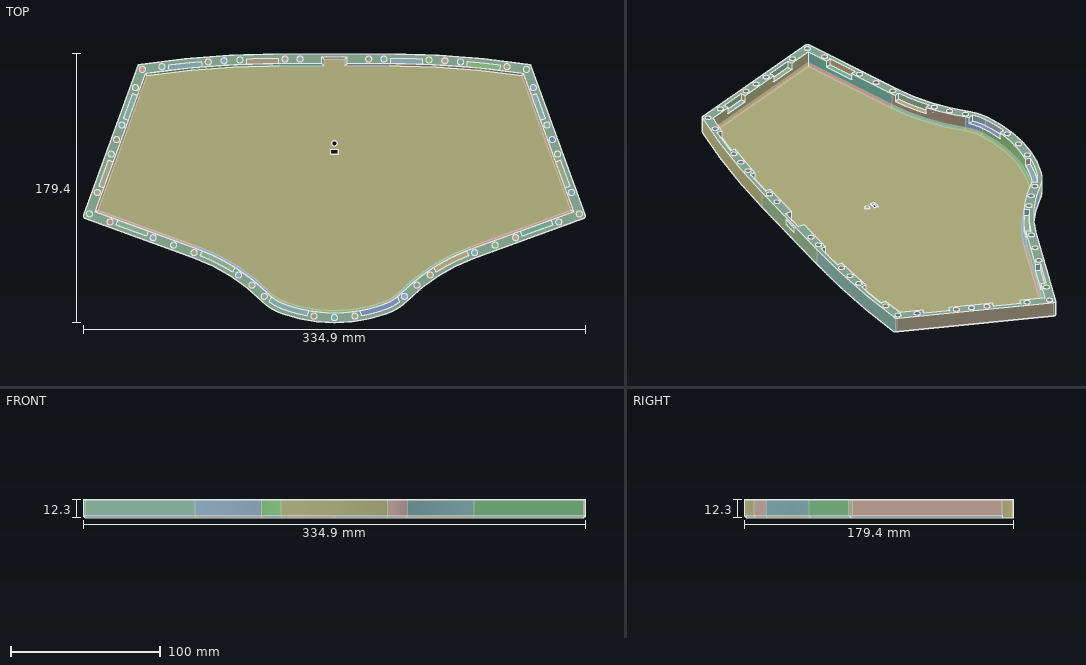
import cadquery as cq
import math

overall_width = 334.85
overall_depth = 179.39
overall_height = 12.26

side_angle = 20.0
neck_angle = 45.0
nose_radius = 104.0
shoulder_radius = 36.0
flare_radius = 121.6
corner_radius = 2.0
back_corner_radius = 1.0
side_length = 108.5
back_flat_half = 37.0

wall = 6.5
floor_thickness = 1.8
floor_fillet = 1.6
bottom_chamfer = 1.5

bay_width = 17.0
bay_wall = 2.0
port_width = 10.5
port_height = 3.8
port_depth = 1.5
port_top_gap = 2.5

hole_diameter = 4.1
hole_depth = 3.0
hole_inset = 3.5
notch_inset = 3.0
notch_depth = 5.0
notch_end_gap = 4.4

front_pairs = [(13.7, 50.0), (72.3, 105.6), (134.7, 165.3)]
side_pairs = [(15.6, 42.8), (63.5, 90.0)]
back_pairs = [(84.2, 115.3), (33.0, 63.1)]
bay_hole_distance = 22.9

floor_hole_diameter = 3.5
floor_hole_from_back = 59.7
floor_slot_length = 5.0
floor_slot_width = 3.0
floor_slot_from_back = 65.3

front_y = 0.0
back_y = front_y + overall_depth


def direction(degrees):
    return cq.Vector(math.cos(math.radians(degrees)), math.sin(math.radians(degrees)))


def on_arc(centre, radius, degrees):
    return centre + direction(degrees) * radius


nose_centre = cq.Vector(0, front_y + nose_radius)
shoulder_centre = on_arc(nose_centre, nose_radius - shoulder_radius, side_angle - 90)
flare_centre = on_arc(shoulder_centre, shoulder_radius + flare_radius, neck_angle - 90)
flare_end = on_arc(flare_centre, flare_radius, side_angle + 90)

front_normal = direction(side_angle - 90)
side_normal = direction(side_angle)
corner_x = overall_width / 2 + corner_radius * (front_normal.x + side_normal.x - 1)
front_run = (corner_x - flare_end.x) / math.cos(math.radians(side_angle))
wide_corner = flare_end + direction(side_angle) * front_run
side_heading = direction(side_angle + 90)
back_corner = wide_corner + side_heading * side_length

back_drop = back_y - back_corner.y
back_run = back_corner.x - back_flat_half
back_radius = (back_run ** 2 + back_drop ** 2) / (2 * back_drop)
back_centre = cq.Vector(back_flat_half, back_y - back_radius)


def half_outline(inset):
    """Edges of the right half outline, moved inward by inset, from front to back."""
    nose = nose_radius - inset
    shoulder = shoulder_radius - inset
    flare = flare_radius + inset
    back = back_radius - inset

    corner = wide_corner - (front_normal + side_normal) * inset
    to_centre = corner - back_centre
    along = to_centre.dot(side_heading)
    reach = -along + math.sqrt(along ** 2 - to_centre.dot(to_centre) + back ** 2)
    rear = corner + side_heading * reach
    rear_angle = math.degrees(math.atan2(rear.y - back_centre.y, rear.x - back_centre.x))

    def arc(centre, radius, start, end):
        angles = (start, (start + end) / 2, end)
        return cq.Edge.makeThreePointArc(*[on_arc(centre, radius, a) for a in angles])

    flare_stop = on_arc(flare_centre, flare, side_angle + 90)
    flat_start = on_arc(back_centre, back, 90)
    return [
        arc(nose_centre, nose, -90, side_angle - 90),
        arc(shoulder_centre, shoulder, side_angle - 90, neck_angle - 90),
        arc(flare_centre, flare, neck_angle + 90, side_angle + 90),
        cq.Edge.makeLine(flare_stop, corner),
        cq.Edge.makeLine(corner, rear),
        arc(back_centre, back, rear_angle, 90),
        cq.Edge.makeLine(flat_start, cq.Vector(0, back_y - inset)),
    ]


def plate(inset, bottom, top):
    """Solid with the inset outline between two heights."""
    right = half_outline(inset)
    left = [edge.mirror("YZ") for edge in right]
    outline = cq.Wire.assembleEdges(right + left[::-1])
    face = cq.Face.makeFromWires(outline)
    solid = cq.Solid.extrudeLinear(face, cq.Vector(0, 0, top - bottom))
    return cq.Workplane(solid).translate((0, 0, bottom))


def box(width, y_start, y_end, bottom, top):
    """Box centred on X = 0 between two depths and two heights."""
    block = cq.Workplane().box(width, y_end - y_start, top - bottom, centered=(True, False, False))
    return block.translate((0, y_start, bottom))


def make_shell():
    """Outer body; every bottom edge is chamfered except those of the back."""
    body = plate(0, 0, overall_height)
    tolerance = 0.1
    front_half = cq.selectors.BoxSelector(
        (-overall_width, front_y - tolerance, -tolerance),
        (overall_width, back_corner.y - tolerance, tolerance),
    )
    body = body.edges(front_half).chamfer(bottom_chamfer)
    for corner, radius in ((wide_corner, corner_radius), (back_corner, back_corner_radius)):
        for side in (-1, 1):
            upright = cq.selectors.NearestToPointSelector((side * corner.x, corner.y, overall_height / 2))
            body = body.edges(upright).fillet(radius)
    return body


def make_cavity():
    """Inside of the tray with the connector bay, rounded where it meets the floor."""
    bay = box(bay_width, back_y - 2 * wall, back_y - bay_wall, floor_thickness, overall_height)
    cavity = plate(wall, floor_thickness, overall_height).union(bay)
    return cavity.faces("<Z").edges().fillet(floor_fillet)


def make_port():
    """Recess for the connector in the thin wall behind the bay."""
    top = overall_height - port_top_gap
    bay_face = back_y - bay_wall
    return box(port_width, bay_face, bay_face + port_depth, top - port_height, top)


def make_floor_openings():
    """Round hole and rectangular slot right through the floor."""
    hole = cq.Workplane().circle(floor_hole_diameter / 2).extrude(2 * floor_thickness)
    slot_start = back_y - floor_slot_from_back - floor_slot_width / 2
    slot = box(floor_slot_length, slot_start, slot_start + floor_slot_width, 0, 2 * floor_thickness)
    return hole.translate((0, back_y - floor_hole_from_back, 0)).union(slot)


hole_edges = half_outline(hole_inset)
hole_line = cq.Wire.assembleEdges(hole_edges)
hole_line_length = hole_line.Length()
edges_before_wide_corner = 4
wide_corner_station = sum(edge.Length() for edge in hole_edges[:edges_before_wide_corner])


def hole_point(station):
    return hole_line.positionAt(station / hole_line_length)


def hole_pairs():
    """Stations of all hole pairs on the right half, from front to back."""
    side = [(wide_corner_station + a, wide_corner_station + b) for a, b in side_pairs]
    back = [(hole_line_length - b, hole_line_length - a) for a, b in back_pairs]
    return front_pairs + side + back


def hole_stations(pairs):
    """Paired holes, one hole midway between neighbouring pairs, and the holes at both ends."""
    stations = [station for pair in pairs for station in pair]
    middles = [(before[1] + after[0]) / 2 for before, after in zip(pairs, pairs[1:])]
    return [0.0] + stations + middles + [hole_line_length - bay_hole_distance]


def make_holes(stations):
    right = [hole_point(station) for station in stations]
    left = [cq.Vector(-point.x, point.y) for point in right if point.x > hole_diameter]
    holes = cq.Workplane().pushPoints([(p.x, p.y) for p in right + left])
    bottom = overall_height - hole_depth
    return holes.circle(hole_diameter / 2).extrude(hole_depth).translate((0, 0, bottom))


def make_notches(pairs):
    """Inner part of the rim, kept only between the holes of each pair."""
    bottom = overall_height - notch_depth
    inside = plate(2 * wall, bottom, overall_height)
    inner_rim = plate(notch_inset, bottom, overall_height).cut(inside)
    windows = cq.Workplane()
    for start, end in pairs:
        first = hole_point(start)
        chord = hole_point(end) - first
        middle = first + chord * 0.5
        heading = math.degrees(math.atan2(chord.y, chord.x))
        window = cq.Workplane().box(chord.Length - 2 * notch_end_gap, 4 * wall, 2 * overall_height)
        window = window.rotate((0, 0, 0), (0, 0, 1), heading).translate(middle)
        windows = windows.add(window).add(window.mirror("YZ"))
    return inner_rim.intersect(windows.combine())


pairs = hole_pairs()
result = (
    make_shell()
    .cut(make_cavity())
    .cut(make_notches(pairs))
    .cut(make_holes(hole_stations(pairs)))
    .cut(make_port())
    .cut(make_floor_openings())
)